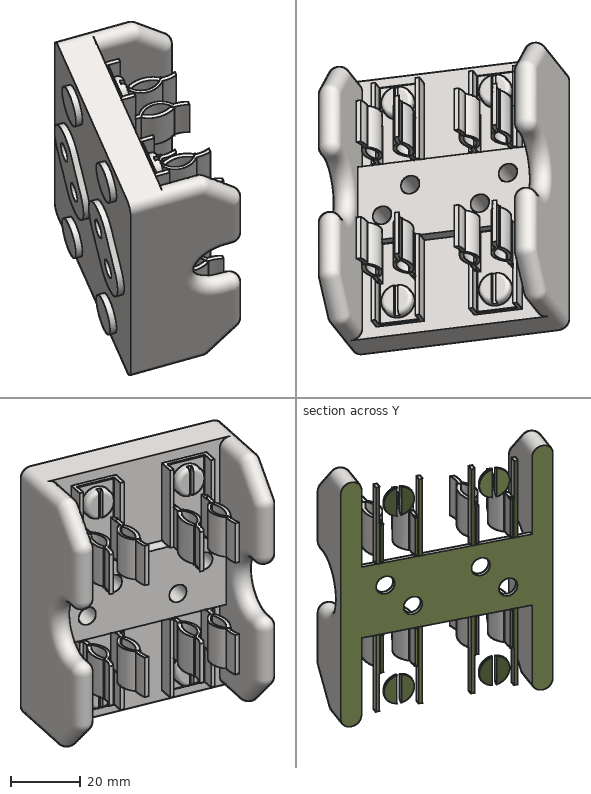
import cadquery as cq
import math

width = 65.8
height = 80.8
block_depth = 10.7
ridge_top = 14.9
round_radius = 3.3
cheek_depth = 34.5
cheek_slope_run = 9.0
notch_radius = 8.7
notch_centre_y = 28.8

pad_thickness = 2.0
pole_offset = 14.75
disc_offset = 31.0
disc_radius = 6.0
pad_radius = 8.3
wire_hole_pitch = 12.0
wire_hole_radius = 2.8
pad_angle = -45.0

sheet = 1.2
thin_sheet = 0.9
base_sheet = 0.3
channel_half_width = 7.25
channel_top = 15.8
channel_end = 37.1
clip_inner_end = 11.8
clip_outer_end = 24.7
leaf_inset = 0.2
floor_y = block_depth + sheet
screw_seat_y = floor_y + base_sheet
leg_outer_x = channel_half_width - sheet
leg_inner_x = leg_outer_x - sheet
leg_taper_top = 15.5
leg_taper_bottom = 13.5
foot_gap = 0.3
bulge_y = 23.0
lens_half_height = 5.2
inner_bulge_x = 2.0
inner_bulge_radius = 6.6
outer_bulge_x = 7.4
outer_bulge_radius = 9.4
waist_x = 5.05
waist_y = 29.2
tip_y = 32.6
tip_flare_radius = 9.0

screw_radius = 4.75
screw_top = 15.25
screw_edge_round = 1.3
slot_width = 1.3
slot_depth = 1.6


def y_cylinder(radius, start_y, end_y, x, z):
    """Cylinder along Y between two depths."""
    circle = cq.Workplane("XZ", origin=(x, start_y, z)).circle(radius)
    return circle.extrude(start_y - end_y)


def block(x_range, y_range, z_range):
    """Box given by its limits along each axis."""
    sizes = [high - low for low, high in (x_range, y_range, z_range)]
    corner = (x_range[0], y_range[0], z_range[0])
    return cq.Workplane("XY").box(*sizes, centered=False).translate(corner)


def make_envelope():
    """Full-width side profile, with sloped corners and a notch, fully rounded at both ends."""
    top = height / 2
    slope_y = cheek_depth - round_radius - cheek_slope_run + round_radius * math.tan(math.pi / 8)
    slope_z = top - (cheek_depth - slope_y)
    outline = (
        cq.Workplane("YZ", origin=(-width / 2, 0, 0))
        .moveTo(0, -top)
        .lineTo(slope_y, -top)
        .lineTo(cheek_depth, -slope_z)
        .lineTo(cheek_depth, -notch_radius)
        .lineTo(notch_centre_y, -notch_radius)
        .threePointArc((notch_centre_y - notch_radius, 0), (notch_centre_y, notch_radius))
        .lineTo(cheek_depth, notch_radius)
        .lineTo(cheek_depth, slope_z)
        .lineTo(slope_y, top)
        .lineTo(0, top)
        .close()
    )
    envelope = outline.extrude(width)
    outer_corners = [
        edge for edge in envelope.edges("|X").vals()
        if any(math.isclose(edge.Center().y, y) for y in (slope_y, cheek_depth))
    ]
    envelope = envelope.newObject(outer_corners).fillet(round_radius)
    for end in ("<X", ">X"):
        envelope = envelope.faces(end).edges("not(<Y)").fillet(round_radius)
    return envelope


def make_bay(envelope):
    """Space between the cheeks, above the block; its end walls leave the cheeks' rounded inner halves."""
    half_block = width / 2 - round_radius
    top = height / 2
    bay = block((-half_block, half_block), (block_depth, cheek_depth), (-top, top))
    outer_half = envelope.intersect(block((-width / 2, -half_block), (block_depth, cheek_depth), (-top, top)))
    inner_half = outer_half.mirror("YZ", (-half_block, 0, 0))
    ridge = block((-half_block, half_block), (block_depth, ridge_top), (-clip_inner_end, clip_inner_end))
    return bay.cut(inner_half).cut(inner_half.mirror("YZ")).cut(ridge)


def make_housing():
    """Block, ridge, cheeks and front pads, with a slanted pair of wire holes per pole."""
    envelope = make_envelope()
    body = envelope.cut(make_bay(envelope), clean=False)
    for x in (-pole_offset, pole_offset):
        for z in (-disc_offset, disc_offset):
            body = body.union(y_cylinder(disc_radius, -pad_thickness, 0, x, z), clean=False)
        pad_plane = cq.Workplane("XZ", origin=(x, -pad_thickness, 0))
        pad = pad_plane.slot2D(wire_hole_pitch + 2 * pad_radius, 2 * pad_radius, pad_angle)
        body = body.union(pad.extrude(-pad_thickness), clean=False)
        shift = wire_hole_pitch / 2 * math.cos(math.radians(pad_angle))
        for side in (-1, 1):
            hole = y_cylinder(wire_hole_radius, -pad_thickness, ridge_top, x + side * shift, -side * shift)
            body = body.cut(hole, clean=False)
    return body


def clip_layer(start_z):
    """Sketch plane across the clip; its local axes are X and Y."""
    return cq.Workplane("XY", origin=(0, 0, start_z))


def lens_leaf(bulge_x, radius, thickness, direction, start_z, length):
    """Bowed leaf whose bulge points along X in the given direction."""
    centre_x = bulge_x - direction * radius
    ring = clip_layer(start_z).center(centre_x, bulge_y).circle(radius).circle(radius - thickness)
    return ring.extrude(length)


def make_tip(start_y, length):
    """Flared tip: a straight start, then from the waist an arc leaning outward."""
    outer = waist_x + sheet / 2
    inner = waist_x - sheet / 2
    ends = (clip_inner_end, clip_outer_end)
    centre_x = inner + tip_flare_radius
    ring = clip_layer(clip_inner_end).center(centre_x, waist_y)
    ring = ring.circle(tip_flare_radius).circle(tip_flare_radius - sheet).extrude(length)
    flare = ring.intersect(block((0, centre_x), (waist_y, tip_y), ends))
    return flare.union(block((inner, outer), (start_y, waist_y), ends))


def make_arm():
    """Right-hand spring arm: leg, two bowed leaves, flared tip and a thin foot inside the channel."""
    length = clip_outer_end - clip_inner_end
    ends = (clip_inner_end, clip_outer_end)
    inset_ends = (clip_inner_end + leaf_inset, clip_outer_end - leaf_inset)
    inset_length = length - 2 * leaf_inset
    lens_bottom = bulge_y - lens_half_height
    lens_top = bulge_y + lens_half_height
    lens_range = (lens_bottom, lens_top)

    inner_leaf = lens_leaf(inner_bulge_x, inner_bulge_radius, thin_sheet, -1, clip_inner_end, length)
    inner_leaf = inner_leaf.intersect(block((0, leg_outer_x), lens_range, ends))
    outer_leaf = lens_leaf(outer_bulge_x, outer_bulge_radius, sheet, 1, inset_ends[0], inset_length)
    outer_leaf = outer_leaf.intersect(block((leg_inner_x, outer_bulge_x), lens_range, ends))
    leg = (
        clip_layer(clip_inner_end)
        .moveTo(leg_outer_x, leg_taper_bottom)
        .lineTo(leg_outer_x, lens_bottom)
        .lineTo(leg_inner_x, lens_bottom)
        .lineTo(leg_inner_x, leg_taper_top)
        .close()
        .extrude(length)
    )
    foot_x = leg_outer_x - foot_gap
    foot = block((foot_x - thin_sheet, foot_x), (floor_y, leg_taper_top), inset_ends)
    return leg.union(inner_leaf).union(outer_leaf).union(foot).union(make_tip(lens_top, length))


def make_contact():
    """Channel with a thin base sheet and a mirrored pair of spring arms, centred on X = 0."""
    ends = (clip_inner_end, channel_end)
    channel = block((-channel_half_width, channel_half_width), (block_depth, channel_top), ends)
    channel = channel.cut(block((-leg_outer_x, leg_outer_x), (floor_y, channel_top), ends))
    base_half_width = leg_outer_x - foot_gap
    base_ends = (clip_inner_end + leaf_inset, channel_end - leaf_inset)
    base = block((-base_half_width, base_half_width), (floor_y, screw_seat_y), base_ends)
    arm = make_arm()
    return channel.union(base).union(arm).union(arm.mirror("YZ"))


def make_screw():
    """Slotted head resting on the base sheet, its slot parallel to Z."""
    head = y_cylinder(screw_radius, screw_seat_y, screw_top, 0, disc_offset)
    head = head.faces(">Y").edges().fillet(screw_edge_round)
    slot = block(
        (-slot_width / 2, slot_width / 2),
        (screw_top - slot_depth, screw_top),
        (disc_offset - screw_radius, disc_offset + screw_radius),
    )
    return head.cut(slot)


def place_at_terminals(part):
    """One copy of the part at each end of each pole."""
    copies = []
    for end in (part, part.mirror("XY")):
        for x in (-pole_offset, pole_offset):
            copies.append(end.translate((x, 0, 0)).val())
    return copies


housing = make_housing()
contacts = place_at_terminals(make_contact())
screws = place_at_terminals(make_screw())

result = cq.Compound.makeCompound([housing.val(), *contacts, *screws])